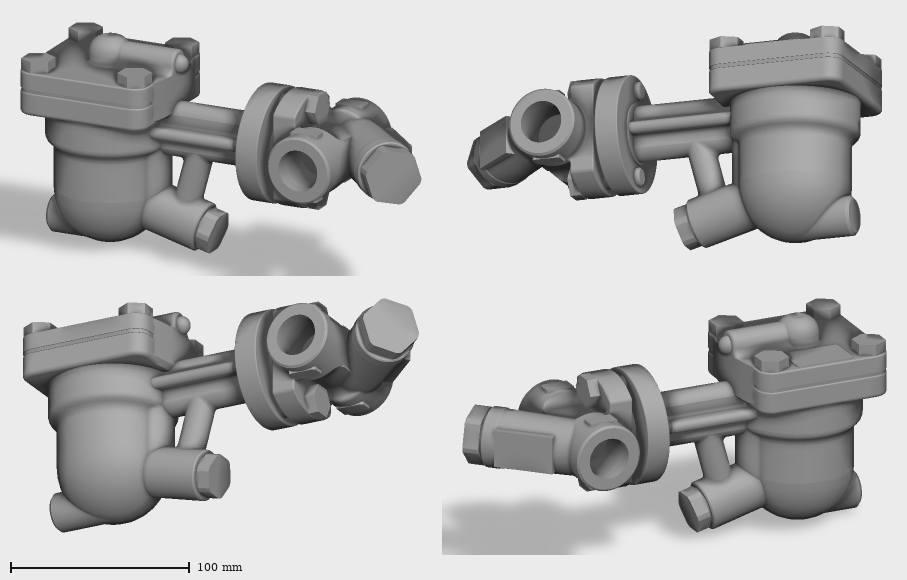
import cadquery as cq
import math

COVER_LENGTH = 79.2
COVER_WIDTH = 80.0
COVER_CORNER = 9.0
COVER_TOP = 33.4
COVER_BOTTOM = 23.8
BODY_FLANGE_TOP = 21.5
BODY_FLANGE_BOTTOM = 8.2
GASKET_INSET = 0.5
PLATE_EDGE = 1.0
BODY_FLANGE_LOWER_EDGE = 2.5

VESSEL_RADIUS = 31.7
COLLAR_RADIUS = 36.5
COLLAR_NECK_HEIGHT = 2.5
COLLAR_NECK_FLARE = 0.5
COLLAR_EDGE = -8.5
VESSEL_SHOULDER = -16.8
DOME_CENTRE = -39.8

HEAD_FLATS = 16.8
COVER_HEAD_HEIGHT = 6.5
COVER_BOLT_OFFSET = 30.0

CAP_DIAMETER = 24.0
CAP_TOP = 48.5
CAP_FLAT_DIAMETER = 8.6
CAP_SIDE_TOP = 39.4
CAP_FOOT = 2.0

CHANNEL_DIAMETER = 16.0
CHANNEL_AXIS = 38.2
CHANNEL_END = 43.0
CHANNEL_EDGE = 2.0
CHANNEL_PLUG_DIAMETER = 10.5
BULGE_HALF_WIDTH = 26.5
BULGE_CHAMFER = 3.0

NAMEPLATE_LENGTH = 34.0
NAMEPLATE_WIDTH = 22.5
NAMEPLATE_Y = 27.0
NAMEPLATE_HEIGHT = 0.7
NAMEPLATE_CORNER = 2.2

DRAIN_DIAMETER = 22.5
DRAIN_AXIS = -60.2
DRAIN_END = -35.3
DRAIN_CHAMFER = 1.7

STRAINER_DIAMETER = 28.8
STRAINER_TILT = 15.0
STRAINER_PLUG_X = 67.2
STRAINER_PLUG_Z = -58.0
STRAINER_PLUG_FLATS = 23.0
STRAINER_PLUG_DIAMETER = 25.0
STRAINER_PLUG_LENGTH = 7.7
STRAINER_NECK_DIAMETER = 23.0
STRAINER_NECK_LENGTH = 1.0
STRAINER_LENGTH = 43.2
STRAINER_CHAMFER = 0.7

PIPE_WIDTH = 16.0
PIPE_HALF_HEIGHT = 16.0
PIPE_SPRING = 10.3
PIPE_HALF_WIDTH = 16.8
SIDE_RIB_THICKNESS = 6.7
SIDE_RIB_FILLET = 2.0
BRANCH_DIAMETER = 15.8
BRANCH_FOOT_X = 49.7
BRANCH_FOOT_Z = -36.7
BRANCH_OVERLAP = 9.5
BRANCH_FILLET = 2.5
COLUMN_DIAMETER = 28.8
COLUMN_X = 22.5
COLUMN_FILLET = 2.0
COLUMN_BOTTOM = -48.7

FLANGE_DIAMETER = 66.7
FLANGE_FACE = 107.5
FLANGE_THICKNESS = 13.5
FLANGE_EDGE = 0.7
RAISED_FACE_DIAMETER = 35.0
PIPE_FOOT_HEIGHT = 1.0
JOINT_BOLT_DIAMETER = 10.5
JOINT_BOLT_OFFSET = 25.0
JOINT_BOLT_TIP = 3.0
JOINT_HEAD_HEIGHT = 6.2
JOINT_BOLT_CHAMFER = 1.0

SPIGOT_LENGTH = 4.5
VALVE_PLATE_THICKNESS = 14.0
VALVE_PLATE_WIDTH = 44.6
VALVE_PLATE_CORNER = 3.0
VALVE_PLATE_EDGE = 1.0
TUBE_X = 135.8
TUBE_DIAMETER = 39.0
TUBE_LENGTH = 80.6
TUBE_MIDDLE = 2.0
TUBE_EDGE = 1.2
TUBE_ROOT_FILLET = 2.0
BORE_DIAMETER = 24.0
BORE_DEPTH = 28.8
WAIST_HALF_WIDTH = 11.5
WAIST_HEIGHT = 12.5
WAIST_FILLET = 5.8
WAIST_END = 151.7
SPANNER_PAD_LENGTH = 16.3
SPANNER_PAD_WIDTH = 9.8
SPANNER_PAD_HEIGHT = 19.7
SPANNER_PAD_OFFSET = 28.5
SPANNER_PAD_CORNER = 2.0

CHAMBER_END_X = 189.0
CHAMBER_END_Y = -25.0
CHAMBER_ANGLE = -45.0
CHAMBER_LENGTH = 67.2
CHAMBER_DIAMETER = 33.5
CHAMBER_ROOT_DIAMETER = 31.2
CHAMBER_COLLAR_DIAMETER = 34.5
CHAMBER_COLLAR_START = 19.2
CHAMBER_COLLAR_END = 10.8
CHAMBER_EDGE = 0.7
CHAMBER_ROOT_FILLET = 2.0
CHAMBER_CAP_NECK_DIAMETER = 28.8
CHAMBER_HEX_LENGTH = 9.4
CHAMBER_HEX_FLATS = 30.0
CHAMBER_HEX_DIAMETER = 33.0
CHAMBER_HEX_TURN = -13.0
CHAMBER_PAD_START = 53.8
CHAMBER_PAD_WIDTH = 21.5
CHAMBER_PAD_RADIUS = 17.3

QUARTER_ARC_SAG = 1 - math.sqrt(0.5)
MARGIN = 0.2


def cylinder(start, direction, diameter, length):
    plane = cq.Plane(origin=start, normal=direction)
    return cq.Workplane(plane).circle(diameter / 2).extrude(length)


def hexagon(plane, flats, height, turn=0.0):
    corners = flats / math.cos(math.radians(30))
    return cq.Workplane(plane).transformed(rotate=(0, 0, turn)).polygon(6, corners).extrude(height)


def clipped_hexagon(plane, flats, clip_diameter, height, turn=0.0):
    clip = cq.Workplane(plane).circle(clip_diameter / 2).extrude(height)
    return hexagon(plane, flats, height, turn).intersect(clip)


def plate(bottom, top, inset=0.0):
    return (
        cq.Workplane("XY", origin=(0, 0, bottom))
        .rect(COVER_LENGTH - 2 * inset, COVER_WIDTH - 2 * inset)
        .extrude(top - bottom)
        .edges("|Z")
        .fillet(COVER_CORNER - inset)
    )


def make_vessel():
    bend_radius = (COLLAR_RADIUS + VESSEL_RADIUS) / 2
    bend_height = (COLLAR_EDGE + VESSEL_SHOULDER) / 2
    profile = (
        cq.Workplane("XZ")
        .moveTo(0, BODY_FLANGE_BOTTOM)
        .lineTo(COLLAR_RADIUS + COLLAR_NECK_FLARE, BODY_FLANGE_BOTTOM)
        .lineTo(COLLAR_RADIUS, BODY_FLANGE_BOTTOM - COLLAR_NECK_HEIGHT)
        .lineTo(COLLAR_RADIUS, COLLAR_EDGE)
        .tangentArcPoint((bend_radius, bend_height), relative=False)
        .tangentArcPoint((VESSEL_RADIUS, VESSEL_SHOULDER), relative=False)
        .lineTo(VESSEL_RADIUS, DOME_CENTRE)
        .tangentArcPoint((0, DOME_CENTRE - VESSEL_RADIUS), relative=False)
        .close()
    )
    return profile.revolve(360, (0, 0, 0), (0, 1, 0))


def make_plates():
    cover = plate(COVER_BOTTOM, COVER_TOP).faces(">Z").edges().fillet(PLATE_EDGE)
    gasket = plate(BODY_FLANGE_TOP, COVER_BOTTOM, GASKET_INSET)
    body_flange = plate(BODY_FLANGE_BOTTOM, BODY_FLANGE_TOP).faces(">Z").edges().fillet(PLATE_EDGE)
    body_flange = body_flange.faces("<Z").edges().fillet(BODY_FLANGE_LOWER_EDGE)
    return cover.union(gasket).union(body_flange)


def make_bulge():
    """Swelling of the +X side that carries the passage from the cover down to the pipe."""
    edge_x = COVER_LENGTH / 2
    return (
        cq.Workplane("XY", origin=(0, 0, BODY_FLANGE_BOTTOM))
        .moveTo(0, -BULGE_HALF_WIDTH)
        .lineTo(edge_x, -BULGE_HALF_WIDTH)
        .threePointArc((CHANNEL_END, 0), (edge_x, BULGE_HALF_WIDTH))
        .lineTo(0, BULGE_HALF_WIDTH)
        .close()
        .extrude(COVER_TOP - BODY_FLANGE_BOTTOM)
        .edges("<Z and >X")
        .chamfer(BULGE_CHAMFER)
    )


def make_cover_bolts():
    heads = cq.Workplane("XY")
    for x in (-COVER_BOLT_OFFSET, COVER_BOLT_OFFSET):
        for y in (-COVER_BOLT_OFFSET, COVER_BOLT_OFFSET):
            plane = cq.Plane(origin=(x, y, COVER_TOP))
            heads = heads.union(hexagon(plane, HEAD_FLATS, COVER_HEAD_HEIGHT, 90))
    return heads


def make_cap():
    radius = CAP_DIAMETER / 2
    bend = CAP_FOOT * QUARTER_ARC_SAG
    profile = (
        cq.Workplane("XZ")
        .moveTo(0, COVER_TOP)
        .lineTo(radius + CAP_FOOT, COVER_TOP)
        .threePointArc((radius + bend, COVER_TOP + bend), (radius, COVER_TOP + CAP_FOOT))
        .lineTo(radius, CAP_SIDE_TOP)
        .tangentArcPoint((CAP_FLAT_DIAMETER / 2, CAP_TOP), relative=False)
        .lineTo(0, CAP_TOP)
        .close()
    )
    return profile.revolve(360, (0, 0, 0), (0, 1, 0))


def make_channel():
    """Round-topped passage on the cover with concave flanks, closed by a ball-ended plug."""
    radius = CHANNEL_DIAMETER / 2
    flank = CHANNEL_AXIS - COVER_TOP
    foot = radius + flank
    bend = flank * QUARTER_ARC_SAG
    channel = (
        cq.Workplane("YZ")
        .moveTo(-foot, COVER_TOP)
        .threePointArc((-radius - bend, COVER_TOP + bend), (-radius, CHANNEL_AXIS))
        .threePointArc((0, CHANNEL_AXIS + radius), (radius, CHANNEL_AXIS))
        .threePointArc((radius + bend, COVER_TOP + bend), (foot, COVER_TOP))
        .close()
        .extrude(CHANNEL_END)
        .faces(">X")
        .edges(">Z")
        .fillet(CHANNEL_EDGE)
    )
    plug = cq.Workplane("XY", origin=(CHANNEL_END, 0, CHANNEL_AXIS)).sphere(CHANNEL_PLUG_DIAMETER / 2)
    return channel.union(plug)


def make_nameplate():
    return (
        cq.Workplane("XY", origin=(0, NAMEPLATE_Y, COVER_TOP))
        .rect(NAMEPLATE_LENGTH, NAMEPLATE_WIDTH)
        .extrude(NAMEPLATE_HEIGHT)
        .edges("|Z")
        .fillet(NAMEPLATE_CORNER)
    )


def make_drain():
    boss = cylinder((DRAIN_END, 0, DRAIN_AXIS), (1, 0, 0), DRAIN_DIAMETER, -DRAIN_END)
    return boss.faces("<X").chamfer(DRAIN_CHAMFER)


def make_strainer():
    tilt = math.radians(STRAINER_TILT)
    inward = cq.Vector(-math.cos(tilt), 0, math.sin(tilt))
    plug_face = cq.Vector(STRAINER_PLUG_X, 0, STRAINER_PLUG_Z)
    plug_plane = cq.Plane(origin=plug_face, xDir=(0, 1, 0), normal=inward)
    plug = clipped_hexagon(plug_plane, STRAINER_PLUG_FLATS, STRAINER_PLUG_DIAMETER, STRAINER_PLUG_LENGTH)
    neck_start = plug_face + inward * STRAINER_PLUG_LENGTH
    neck = cylinder(neck_start, inward, STRAINER_NECK_DIAMETER, STRAINER_NECK_LENGTH)
    boss_start = neck_start + inward * STRAINER_NECK_LENGTH
    boss = cylinder(boss_start, inward, STRAINER_DIAMETER, STRAINER_LENGTH)
    boss = boss.faces(">X").chamfer(STRAINER_CHAMFER)
    return boss.union(neck).union(plug)


def make_branch():
    tilt = math.radians(STRAINER_TILT)
    upward = cq.Vector(math.sin(tilt), 0, math.cos(tilt))
    foot = cq.Vector(BRANCH_FOOT_X, 0, BRANCH_FOOT_Z)
    length = (-PIPE_SPRING - BRANCH_FOOT_Z) / math.cos(tilt)
    return cylinder(foot - upward * BRANCH_OVERLAP, upward, BRANCH_DIAMETER, length + BRANCH_OVERLAP)


def make_pipe():
    """Flat-walled pipe with round crowns above and below and a round-edged rib along each side."""
    length = FLANGE_FACE - FLANGE_THICKNESS
    half = PIPE_WIDTH / 2
    pipe = (
        cq.Workplane("YZ")
        .moveTo(-half, -PIPE_SPRING)
        .lineTo(-half, PIPE_SPRING)
        .threePointArc((0, PIPE_HALF_HEIGHT), (half, PIPE_SPRING))
        .lineTo(half, -PIPE_SPRING)
        .threePointArc((0, -PIPE_HALF_HEIGHT), (-half, -PIPE_SPRING))
        .close()
        .extrude(length)
    )
    ribs = cq.Workplane("YZ").slot2D(2 * PIPE_HALF_WIDTH, SIDE_RIB_THICKNESS).extrude(length)
    reach = half + MARGIN
    height = SIDE_RIB_THICKNESS / 2 + MARGIN
    roots = cq.selectors.BoxSelector((0, -reach, -height), (length, reach, height))
    return pipe.union(ribs).edges(roots).edges("|X").fillet(SIDE_RIB_FILLET)


def make_passages():
    """Connecting pipe and strainer boss, with the branch blended into both."""
    near_x = BRANCH_FOOT_X - BRANCH_DIAMETER
    far_x = BRANCH_FOOT_X + 2 * BRANCH_OVERLAP
    half = BRANCH_DIAMETER
    foot = cq.selectors.BoxSelector(
        (near_x, -half, BRANCH_FOOT_Z - BRANCH_OVERLAP), (BRANCH_FOOT_X + BRANCH_OVERLAP, half, BRANCH_FOOT_Z)
    )
    top = cq.selectors.BoxSelector(
        (near_x, -half, -PIPE_HALF_HEIGHT - MARGIN), (far_x, half, -PIPE_SPRING + MARGIN / 2)
    )
    boss = make_strainer().union(make_branch()).edges(foot).fillet(BRANCH_FILLET)
    return boss.union(make_pipe()).edges(top).edges("not(|X)").fillet(BRANCH_FILLET)


def make_trap_flange():
    back = FLANGE_FACE - FLANGE_THICKNESS
    flange = cylinder((back, 0, 0), (1, 0, 0), FLANGE_DIAMETER, FLANGE_THICKNESS)
    flange = flange.edges().fillet(FLANGE_EDGE)
    foot = cylinder((back - PIPE_FOOT_HEIGHT, 0, 0), (1, 0, 0), RAISED_FACE_DIAMETER, PIPE_FOOT_HEIGHT)
    flange = flange.union(foot)
    for z in (-JOINT_BOLT_OFFSET, JOINT_BOLT_OFFSET):
        flange = flange.cut(cylinder((back, 0, z), (1, 0, 0), JOINT_BOLT_DIAMETER, FLANGE_THICKNESS))
    return flange


def make_column_vessel():
    """Vessel with a rounded column up its +X side, blended into the wall."""
    column = cylinder((COLUMN_X, 0, COLUMN_BOTTOM), (0, 0, 1), COLUMN_DIAMETER, -COLUMN_BOTTOM)
    wall = cq.selectors.BoxSelector(
        (COLUMN_X, -VESSEL_RADIUS, COLUMN_BOTTOM), (VESSEL_RADIUS, VESSEL_RADIUS, VESSEL_SHOULDER)
    )
    return make_vessel().union(column).edges(wall).edges("|Z").fillet(COLUMN_FILLET)


def make_trap():
    trap = make_column_vessel()
    for feature in (
        make_plates(), make_bulge(), make_cover_bolts(), make_cap(), make_channel(), make_nameplate(),
        make_drain(), make_passages(), make_trap_flange(),
    ):
        trap = trap.union(feature)
    return trap


def make_valve_plate():
    spigot = cylinder((FLANGE_FACE, 0, 0), (1, 0, 0), RAISED_FACE_DIAMETER, SPIGOT_LENGTH)
    front = FLANGE_FACE + SPIGOT_LENGTH
    disc = cylinder((front, 0, 0), (1, 0, 0), FLANGE_DIAMETER, VALVE_PLATE_THICKNESS)
    sides = cq.Workplane("XY", origin=(front + VALVE_PLATE_THICKNESS / 2, 0, 0)).box(
        VALVE_PLATE_THICKNESS, VALVE_PLATE_WIDTH, FLANGE_DIAMETER
    )
    trimmed = disc.intersect(sides).edges("|X").fillet(VALVE_PLATE_CORNER)
    trimmed = trimmed.faces("<X or >X").edges().fillet(VALVE_PLATE_EDGE)
    return spigot.union(trimmed)


def make_joint_bolt(z):
    tip = FLANGE_FACE - FLANGE_THICKNESS - JOINT_BOLT_TIP
    head_face = FLANGE_FACE + SPIGOT_LENGTH + VALVE_PLATE_THICKNESS
    shank = cylinder((tip, 0, z), (1, 0, 0), JOINT_BOLT_DIAMETER, head_face - tip)
    shank = shank.faces("<X").chamfer(JOINT_BOLT_CHAMFER)
    plane = cq.Plane(origin=(head_face, 0, z), xDir=(0, 1, 0), normal=(1, 0, 0))
    return shank.union(hexagon(plane, HEAD_FLATS, JOINT_HEAD_HEIGHT))


def make_tube():
    """Cross tube with a flat waist in the middle."""
    tube = cylinder((TUBE_X, TUBE_MIDDLE - TUBE_LENGTH / 2, 0), (0, 1, 0), TUBE_DIAMETER, TUBE_LENGTH)
    tube = tube.faces("<Y or >Y").chamfer(TUBE_EDGE)
    front = FLANGE_FACE + SPIGOT_LENGTH
    for side in (-1, 1):
        recess = (
            cq.Workplane("XY", origin=(TUBE_X, 0, side * (WAIST_HEIGHT + TUBE_DIAMETER / 2)))
            .box(TUBE_DIAMETER, 2 * (WAIST_HALF_WIDTH + WAIST_FILLET), TUBE_DIAMETER)
            .faces("<Z" if side > 0 else ">Z")
            .edges("|X")
            .fillet(WAIST_FILLET)
        )
        tube = tube.cut(recess)
    block = cq.Workplane("XY", origin=((front + WAIST_END) / 2, 0, 0)).box(
        WAIST_END - front, 2 * WAIST_HALF_WIDTH, 2 * WAIST_HEIGHT
    )
    return tube.union(block)


def make_spanner_pads():
    pads = cq.Workplane("XY")
    for y in (TUBE_MIDDLE - SPANNER_PAD_OFFSET, TUBE_MIDDLE + SPANNER_PAD_OFFSET):
        pad = (
            cq.Workplane("XY", origin=(TUBE_X, y, 0))
            .box(SPANNER_PAD_LENGTH, SPANNER_PAD_WIDTH, 2 * SPANNER_PAD_HEIGHT)
            .edges("|Z and >X")
            .fillet(SPANNER_PAD_CORNER)
        )
        pads = pads.union(pad)
    return pads


def make_chamber():
    """Screen chamber built along its own axis, from the cap face (local X = 0) inwards."""
    start = -CHAMBER_COLLAR_START
    end = -CHAMBER_COLLAR_END
    collar_radius = CHAMBER_COLLAR_DIAMETER / 2
    neck_radius = CHAMBER_CAP_NECK_DIAMETER / 2
    outline = [
        (-CHAMBER_LENGTH, 0),
        (-CHAMBER_LENGTH, CHAMBER_ROOT_DIAMETER / 2),
        (start, CHAMBER_DIAMETER / 2),
        (start + CHAMBER_EDGE, collar_radius),
        (end - CHAMBER_EDGE, collar_radius),
        (end, collar_radius - CHAMBER_EDGE),
        (end, neck_radius),
        (-CHAMBER_HEX_LENGTH, neck_radius),
        (-CHAMBER_HEX_LENGTH, 0),
    ]
    body = cq.Workplane("XY").polyline(outline).close().revolve(360, (0, 0, 0), (1, 0, 0))
    cap_plane = cq.Plane(origin=(-CHAMBER_HEX_LENGTH, 0, 0), xDir=(0, 1, 0), normal=(1, 0, 0))
    cap = clipped_hexagon(cap_plane, CHAMBER_HEX_FLATS, CHAMBER_HEX_DIAMETER, CHAMBER_HEX_LENGTH, CHAMBER_HEX_TURN)
    pad_length = CHAMBER_PAD_START - CHAMBER_COLLAR_START
    pad = cq.Workplane("XY", origin=(start - pad_length / 2, CHAMBER_PAD_RADIUS / 2, 0)).box(
        pad_length, CHAMBER_PAD_RADIUS, CHAMBER_PAD_WIDTH
    )
    chamber = body.union(cap).union(pad)
    return chamber.rotate((0, 0, 0), (0, 0, 1), CHAMBER_ANGLE).translate((CHAMBER_END_X, CHAMBER_END_Y, 0))


def make_valve_body():
    """Cross tube blended into the screen chamber and the bolting plate."""
    reach = TUBE_DIAMETER / 2
    chamber_root = cq.selectors.BoxSelector(
        (TUBE_X, -WAIST_HALF_WIDTH / 2, -reach), (TUBE_X + reach + MARGIN, TUBE_LENGTH / 2, reach)
    )
    body = make_tube().union(make_chamber())
    body = body.edges(chamber_root).edges("%BSPLINE or %HYPERBOLA").fillet(CHAMBER_ROOT_FILLET)
    plate_back = FLANGE_FACE + SPIGOT_LENGTH + VALVE_PLATE_THICKNESS
    side = VALVE_PLATE_WIDTH / 2 + MARGIN
    plate_sides = cq.selectors.BoxSelector((TUBE_X - reach, -side, -reach), (plate_back, side, reach))
    body = body.union(make_valve_plate())
    return body.edges(plate_sides).edges("%CIRCLE").fillet(TUBE_ROOT_FILLET)


def make_valve():
    valve = make_valve_body().union(make_spanner_pads())
    for z in (-JOINT_BOLT_OFFSET, JOINT_BOLT_OFFSET):
        valve = valve.union(make_joint_bolt(z))
    for side in (-1, 1):
        mouth = (TUBE_X, TUBE_MIDDLE + side * TUBE_LENGTH / 2, 0)
        valve = valve.cut(cylinder(mouth, (0, -side, 0), BORE_DIAMETER, BORE_DEPTH))
    return valve


trap = make_trap()
valve = make_valve()
result = cq.Compound.makeCompound([trap.val(), valve.val()])